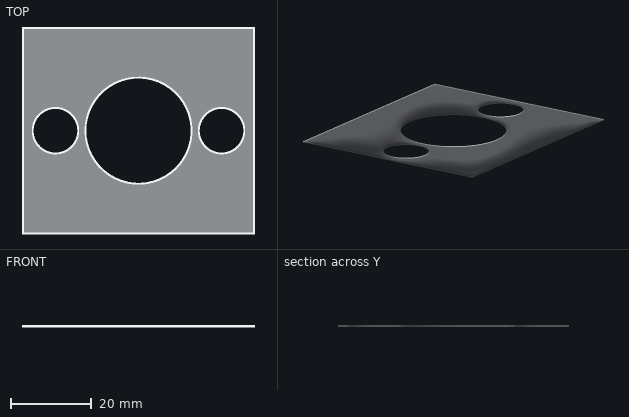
import cadquery as cq

length = 57.15
width = 50.8
thickness = 0.25

center_hole_diameter = 26.2
side_hole_diameter = 11.2
side_hole_offset = 20.5

plate = cq.Workplane("XY").box(length, width, thickness)

plate = plate.faces(">Z").workplane().hole(center_hole_diameter)

side_hole_centers = [(-side_hole_offset, 0), (side_hole_offset, 0)]
result = plate.faces(">Z").workplane(origin=(0, 0, 0)).pushPoints(side_hole_centers).hole(side_hole_diameter)